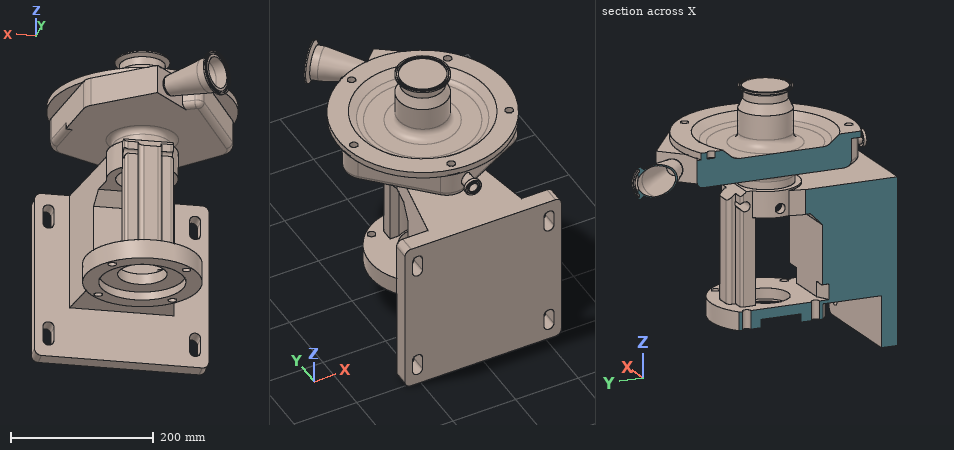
import cadquery as cq
import math


FLANGE_DIAMETER = 270.0
FLANGE_THICKNESS = 10.0
CASING_DEPTH = 52.0
CORNER_COUNT = 5
FIRST_CORNER_ANGLE = 45
CORNER_STEP = 360 / CORNER_COUNT
CASING_INRADIUS = 114.5
CORNER_RADIUS = 31.0
FLOOR_FILLET = 9.0
BOLT_CIRCLE_RADIUS = 121.5
BOLT_DIAMETER = 12.0

DISH_RADIUS = 104.5
DISH_CONE_RADIUS = 93.0
DISH_FLOOR_RADIUS = 83.5
DISH_ANGLE = math.radians(45)

ARC_MID = 1 - math.sqrt(0.5)

SUCTION_TOP = 69.0
SUCTION_RADIUS = 39.0
SUCTION_ROOT_FILLET = 15.0
SUCTION_SHOULDER = 35.5
SUCTION_NECK_START = 50.5
SUCTION_NECK_RADIUS = 32.3
FERRULE_RIM = 2.5
FERRULE_HEIGHT = 6.5

GROOVE_MARGIN = 2.5
GROOVE_WIDTH = 2.5
GROOVE_DEPTH = 1.2

EAR_SIDE_ANGLE = FIRST_CORNER_ANGLE + 1.5 * CORNER_STEP
EAR_END = 92.3
EAR_ROUND = 10.5

OUTLET_ANGLE = 135
OUTLET_FACE = 110.0
OUTLET_END = 194.0
OUTLET_OFFSET = 96.8
OUTLET_HEIGHT = -32.3
BLOCK_SIDE_ANGLE = 54
BLOCK_SIDE = 139.3
BLOCK_ROUND = 20.5
NOZZLE_NECK_RADIUS = 13.0
NOZZLE_NECK = 2.5
NOZZLE_ROOT_RADIUS = 14.5
NOZZLE_RADIUS = 25.5
NOZZLE_CYLINDER = 18.0
NOZZLE_RIM_RADIUS = 32.0
NOZZLE_WALL = 2.5

DRAIN_END = 151
DRAIN_HEIGHT = -29.0
DRAIN_RADIUS = 9.0
DRAIN_BORE_RADIUS = 7.0
DRAIN_RIM_RADIUS = 12.5
DRAIN_RIM = 5.0

NECK_RADIUS = 41.5
NECK_FILLET = 9.5

HUB_TOP = -72.5
HUB_BOTTOM = -112.5
HUB_RADIUS = 50.5
BRACKET_BORE_RADIUS = 37.5
WEB_TOP = -75.0
WEB_BOTTOM = -248.3
WEB_START = 14.0
WEB_START_HALF_WIDTH = 48.5
WEB_END_HALF_WIDTH = 74.7
WINDOW_FRONT = 63.3
WINDOW_CHAMFER = 18.5

RING_TOP = -242.5
RING_THICKNESS = 28.0
RING_RADIUS = 84.0
RING_BORE_RADIUS = 34.7
RING_BOLT_CIRCLE_RADIUS = 75.0
RING_BOLT_COUNT = 4
RING_FIRST_BOLT_ANGLE = 45
RING_BOLT_DIAMETER = 12.0
RING_REGISTER_RADIUS = 61.3
RING_REGISTER_DEPTH = 12.3
POCKET_HEIGHT = 22.5
POCKET_DEPTH = 15.0
POCKET_INNER_X = 34.7
POCKET_OUTER_X = 62.0

COLUMN_HALF_WIDTH = 35.0
COLUMN_FRONT = 31.5
COLUMN_BACK = 54.0
COLUMN_ROUND = 4
RIB_HALF_WIDTH = 16.5
RIB_BACK = 65.7
RIB_ROUND = 6.0
COLUMN_CHAMFER_RUN = 20.5
COLUMN_CHAMFER_DROP = 16.7
CROSS_HOLE_RADIUS = 7.5
COLUMN_HOLE_BACK = 47.5
COLUMN_HOLE_HEIGHT = -94.7
HUB_HOLE_HEIGHT = -99.2

PLATE_SIZE = 250.0
PLATE_THICKNESS = 25.5
PLATE_FRONT = 180.0
PLATE_CORNER_RADIUS = 10.0
SLOT_WIDTH = 15.5
SLOT_LENGTH = 35.5
SLOT_SPACING_X = 210.0
SLOT_SPACING_Z = 180.0


def cylinder(radius, bottom, top):
    """Solid cylinder on the pump axis."""
    return cq.Workplane("XY").workplane(offset=bottom).circle(radius).extrude(top - bottom)


def box(x_min, x_max, y_min, y_max, z_min, z_max):
    size = (x_max - x_min, y_max - y_min, z_max - z_min)
    return cq.Workplane("XY").box(*size, centered=False).translate((x_min, y_min, z_min))


def meet(angle_a, distance_a, angle_b, distance_b):
    """Point where two plan lines, each given by its normal angle and distance, cross."""
    a = math.radians(angle_a)
    b = math.radians(angle_b)
    spread = math.sin(b - a)
    x = (distance_a * math.sin(b) - distance_b * math.sin(a)) / spread
    y = (distance_b * math.cos(a) - distance_a * math.cos(b)) / spread
    return (x, y)


def revolve_along(points, plane):
    """Turn (radius, height) points about the normal of a plane."""
    profile = cq.Workplane("XZ").polyline(points).close()
    solid = profile.revolve(360, (0, 0, 0), (0, 1, 0)).val()
    return cq.Workplane(solid.moved(cq.Location(plane)))


def ferrule_face(rim_radius, end, rim=FERRULE_RIM):
    """Profile points of a ferrule, from the back of its rim round to the grooved face."""
    groove_outer = rim_radius - GROOVE_MARGIN
    groove_inner = groove_outer - GROOVE_WIDTH
    return [
        (rim_radius, end - rim),
        (rim_radius, end),
        (groove_outer, end),
        (groove_outer, end - GROOVE_DEPTH),
        (groove_inner, end - GROOVE_DEPTH),
        (groove_inner, end),
        (0, end),
    ]


def make_casing():
    vertex_radius = CASING_INRADIUS / math.cos(math.pi / CORNER_COUNT)
    casing = (
        cq.Workplane("XY").workplane(offset=-CASING_DEPTH)
        .transformed(rotate=(0, 0, FIRST_CORNER_ANGLE))
        .polygon(CORNER_COUNT, 2 * vertex_radius)
        .extrude(CASING_DEPTH - FLANGE_THICKNESS / 2)
        .edges("|Z").fillet(CORNER_RADIUS)
        .faces("<Z").edges().fillet(FLOOR_FILLET)
    )
    return casing.union(cylinder(FLANGE_DIAMETER / 2, -FLANGE_THICKNESS, 0))


def make_ear():
    """Rounded corner of the casing reaching out past the flange rim."""
    end_angle = EAR_SIDE_ANGLE - 90
    corner = meet(end_angle, EAR_END, EAR_SIDE_ANGLE, CASING_INRADIUS)
    side_foot = meet(end_angle, 0, EAR_SIDE_ANGLE, CASING_INRADIUS)
    end_foot = meet(end_angle, EAR_END, EAR_SIDE_ANGLE, 0)
    return (
        cq.Workplane("XY").workplane(offset=-CASING_DEPTH)
        .polyline([(0, 0), end_foot, corner, side_foot]).close()
        .extrude(CASING_DEPTH - FLANGE_THICKNESS)
        .edges(cq.selectors.NearestToPointSelector((*corner, -CASING_DEPTH / 2)))
        .fillet(EAR_ROUND)
        .faces("<Z").edges().fillet(FLOOR_FILLET)
    )


def make_outlet_block():
    """Block filling the outlet side of the casing, level with its floor."""
    side_face_angle = FIRST_CORNER_ANGLE - CORNER_STEP / 2
    tip = meet(BLOCK_SIDE_ANGLE, BLOCK_SIDE, OUTLET_ANGLE, OUTLET_FACE)
    shoulder = meet(side_face_angle, CASING_INRADIUS, BLOCK_SIDE_ANGLE, BLOCK_SIDE)
    inner_side = meet(side_face_angle, CASING_INRADIUS, side_face_angle + 90, 0)
    inner_face = meet(OUTLET_ANGLE, OUTLET_FACE, OUTLET_ANGLE - 90, 0)
    return (
        cq.Workplane("XY").workplane(offset=-CASING_DEPTH)
        .polyline([tip, shoulder, inner_side, (0, 0), inner_face]).close()
        .extrude(CASING_DEPTH - FLANGE_THICKNESS)
        .edges(cq.selectors.NearestToPointSelector((*shoulder, -CASING_DEPTH / 2)))
        .fillet(BLOCK_ROUND)
    )


def make_dish():
    cone_depth = DISH_RADIUS - DISH_CONE_RADIUS
    round_radius = (DISH_CONE_RADIUS - DISH_FLOOR_RADIUS) / math.sin(DISH_ANGLE)
    floor = -(cone_depth + round_radius * (1 - math.cos(DISH_ANGLE)))
    middle = (
        DISH_FLOOR_RADIUS + round_radius * math.sin(DISH_ANGLE / 2),
        floor + round_radius * (1 - math.cos(DISH_ANGLE / 2)),
    )
    root = SUCTION_ROOT_FILLET
    root_middle = (SUCTION_RADIUS + root * ARC_MID, floor + root * ARC_MID)
    return (
        cq.Workplane("XZ").moveTo(SUCTION_RADIUS, 0).lineTo(DISH_RADIUS, 0)
        .lineTo(DISH_CONE_RADIUS, -cone_depth)
        .threePointArc(middle, (DISH_FLOOR_RADIUS, floor))
        .lineTo(SUCTION_RADIUS + root, floor)
        .threePointArc(root_middle, (SUCTION_RADIUS, floor + root))
        .close().revolve(360, (0, 0, 0), (0, 1, 0))
    )


def make_suction_pipe():
    profile = [
        (0, -FLANGE_THICKNESS),
        (SUCTION_RADIUS, -FLANGE_THICKNESS),
        (SUCTION_RADIUS, SUCTION_SHOULDER),
        (SUCTION_NECK_RADIUS, SUCTION_NECK_START),
        (SUCTION_NECK_RADIUS, SUCTION_TOP - FERRULE_HEIGHT),
        *ferrule_face(SUCTION_RADIUS, SUCTION_TOP),
    ]
    return revolve_along(profile, cq.Plane.XY())


def make_nozzle():
    """Tapered nozzle, open down to the face of the outlet block."""
    side = math.radians(OUTLET_ANGLE - 90)
    out = math.radians(OUTLET_ANGLE)
    direction = (math.cos(out), math.sin(out), 0)
    root = cq.Vector(*direction) * OUTLET_FACE
    root += cq.Vector(math.cos(side), math.sin(side), 0) * OUTLET_OFFSET
    root += cq.Vector(0, 0, OUTLET_HEIGHT)
    plane = cq.Plane(root, (0, 0, 1), direction)
    length = OUTLET_END - OUTLET_FACE
    cone = length - NOZZLE_CYLINDER
    outside = [
        (0, 0),
        (NOZZLE_NECK_RADIUS, 0),
        (NOZZLE_NECK_RADIUS, NOZZLE_NECK),
        (NOZZLE_ROOT_RADIUS, NOZZLE_NECK),
        (NOZZLE_RADIUS, cone),
        (NOZZLE_RADIUS, length - FERRULE_HEIGHT),
        *ferrule_face(NOZZLE_RIM_RADIUS, length),
    ]
    inside = [
        (0, 0),
        (NOZZLE_NECK_RADIUS - NOZZLE_WALL, 0),
        (NOZZLE_RADIUS - NOZZLE_WALL, cone),
        (NOZZLE_RADIUS - NOZZLE_WALL, length),
        (0, length),
    ]
    return revolve_along(outside, plane).cut(revolve_along(inside, plane))


def make_drain():
    """Drain pipe, open down to the outer skin of the casing."""
    plane = cq.Plane((0, -CASING_INRADIUS, DRAIN_HEIGHT), (1, 0, 0), (0, -1, 0))
    length = DRAIN_END - CASING_INRADIUS
    outside = [
        (0, 0),
        (DRAIN_RADIUS, 0),
        (DRAIN_RADIUS, length - DRAIN_RIM),
        *ferrule_face(DRAIN_RIM_RADIUS, length, DRAIN_RIM),
    ]
    bore = cq.Workplane(plane).circle(DRAIN_BORE_RADIUS).extrude(length)
    return revolve_along(outside, plane).cut(bore)


def make_neck():
    flare = NECK_FILLET * ARC_MID
    return (
        cq.Workplane("XZ").moveTo(0, HUB_TOP).lineTo(NECK_RADIUS, HUB_TOP)
        .lineTo(NECK_RADIUS, -CASING_DEPTH - NECK_FILLET)
        .threePointArc(
            (NECK_RADIUS + flare, -CASING_DEPTH - flare),
            (NECK_RADIUS + NECK_FILLET, -CASING_DEPTH),
        )
        .lineTo(0, -CASING_DEPTH).close().revolve(360, (0, 0, 0), (0, 1, 0))
    )


def make_web():
    """Tapered web joining hub and plate, cut away below the hub by the window."""
    plate_back = PLATE_FRONT - PLATE_THICKNESS
    plan = [
        (-WEB_START_HALF_WIDTH, -WEB_START),
        (WEB_START_HALF_WIDTH, -WEB_START),
        (WEB_END_HALF_WIDTH, -plate_back),
        (-WEB_END_HALF_WIDTH, -plate_back),
    ]
    side = [
        (-WEB_START, WEB_TOP),
        (-plate_back, WEB_TOP),
        (-plate_back, WEB_BOTTOM),
        (-WINDOW_FRONT, WEB_BOTTOM),
        (-WINDOW_FRONT, HUB_BOTTOM - WINDOW_CHAMFER),
        (-WINDOW_FRONT + WINDOW_CHAMFER, HUB_BOTTOM),
        (-WEB_START, HUB_BOTTOM),
    ]
    plan_prism = (
        cq.Workplane("XY").workplane(offset=WEB_BOTTOM)
        .polyline(plan).close().extrude(WEB_TOP - WEB_BOTTOM)
    )
    side_prism = cq.Workplane("YZ").polyline(side).close().extrude(WEB_END_HALF_WIDTH, both=True)
    return plan_prism.intersect(side_prism)


def make_column():
    column = box(-COLUMN_HALF_WIDTH, COLUMN_HALF_WIDTH, COLUMN_FRONT, COLUMN_BACK, RING_TOP, HUB_TOP)
    column = column.edges("|Z and >Y").fillet(COLUMN_ROUND)
    rib = box(-RIB_HALF_WIDTH, RIB_HALF_WIDTH, COLUMN_FRONT, RIB_BACK, RING_TOP, HUB_TOP)
    rib = rib.edges("|Z and >Y").fillet(RIB_ROUND)
    return column.union(rib)


def make_back_chamfer():
    """Wedge that slopes the top rear edge of the hub and column."""
    return (
        cq.Workplane("YZ")
        .polyline([
            (RIB_BACK, HUB_TOP),
            (RIB_BACK - COLUMN_CHAMFER_RUN, HUB_TOP),
            (RIB_BACK, HUB_TOP - COLUMN_CHAMFER_DROP),
        ])
        .close().extrude(COLUMN_HALF_WIDTH, both=True)
    )


def make_foot_ring():
    bottom = RING_TOP - RING_THICKNESS
    return (
        cylinder(RING_RADIUS, bottom, RING_TOP)
        .cut(cylinder(RING_BORE_RADIUS, bottom, RING_TOP))
        .cut(cylinder(RING_REGISTER_RADIUS, bottom, bottom + RING_REGISTER_DEPTH))
        .faces(">Z").workplane()
        .polarArray(RING_BOLT_CIRCLE_RADIUS, RING_FIRST_BOLT_ANGLE, 360, RING_BOLT_COUNT)
        .hole(RING_BOLT_DIAMETER)
    )


def make_plate():
    bottom = WEB_TOP - PLATE_SIZE
    plate = box(
        -PLATE_SIZE / 2, PLATE_SIZE / 2,
        -PLATE_FRONT, -PLATE_FRONT + PLATE_THICKNESS,
        bottom, WEB_TOP,
    )
    plate = plate.edges("|Y").fillet(PLATE_CORNER_RADIUS)
    slots = (
        cq.Workplane("XZ", origin=(0, -PLATE_FRONT, bottom + PLATE_SIZE / 2))
        .rarray(SLOT_SPACING_X, SLOT_SPACING_Z, 2, 2)
        .slot2D(SLOT_LENGTH, SLOT_WIDTH, 90)
        .extrude(-PLATE_THICKNESS)
    )
    return plate.cut(slots)


def make_bolt_pockets():
    """Wedges that give room to the two ring bolts standing against the web."""
    pocket_end = -WINDOW_FRONT - POCKET_DEPTH
    pocket = (
        cq.Workplane("XY").workplane(offset=RING_TOP)
        .polyline([
            (POCKET_INNER_X, -WINDOW_FRONT),
            (POCKET_OUTER_X, pocket_end),
            (RING_RADIUS, pocket_end),
            (RING_RADIUS, -WINDOW_FRONT),
        ])
        .close().extrude(POCKET_HEIGHT)
    )
    return pocket.union(pocket.mirror("YZ"))


def make_bracket():
    bracket = cylinder(HUB_RADIUS, HUB_BOTTOM, HUB_TOP).union(make_web()).union(make_column())
    bracket = bracket.cut(cylinder(BRACKET_BORE_RADIUS, RING_TOP, HUB_TOP))
    bracket = bracket.cut(make_back_chamfer()).cut(make_bolt_pockets())
    column_hole = (
        cq.Workplane("YZ").center(COLUMN_HOLE_BACK, COLUMN_HOLE_HEIGHT)
        .circle(CROSS_HOLE_RADIUS).extrude(HUB_RADIUS, both=True)
    )
    hub_hole = (
        cq.Workplane("YZ").center(0, HUB_HOLE_HEIGHT)
        .circle(CROSS_HOLE_RADIUS).extrude(-HUB_RADIUS)
    )
    bracket = bracket.cut(column_hole).cut(hub_hole)
    return bracket.union(make_foot_ring()).union(make_plate())


flange_holes = (
    cq.Workplane("XY")
    .polarArray(BOLT_CIRCLE_RADIUS, FIRST_CORNER_ANGLE, 360, CORNER_COUNT)
    .circle(BOLT_DIAMETER / 2).extrude(-FLANGE_THICKNESS)
)

pump = make_casing().union(make_ear()).union(make_outlet_block()).union(make_suction_pipe())
pump = pump.cut(make_dish()).cut(flange_holes)
pump = pump.union(make_neck()).union(make_nozzle()).union(make_drain())

result = pump.union(make_bracket())